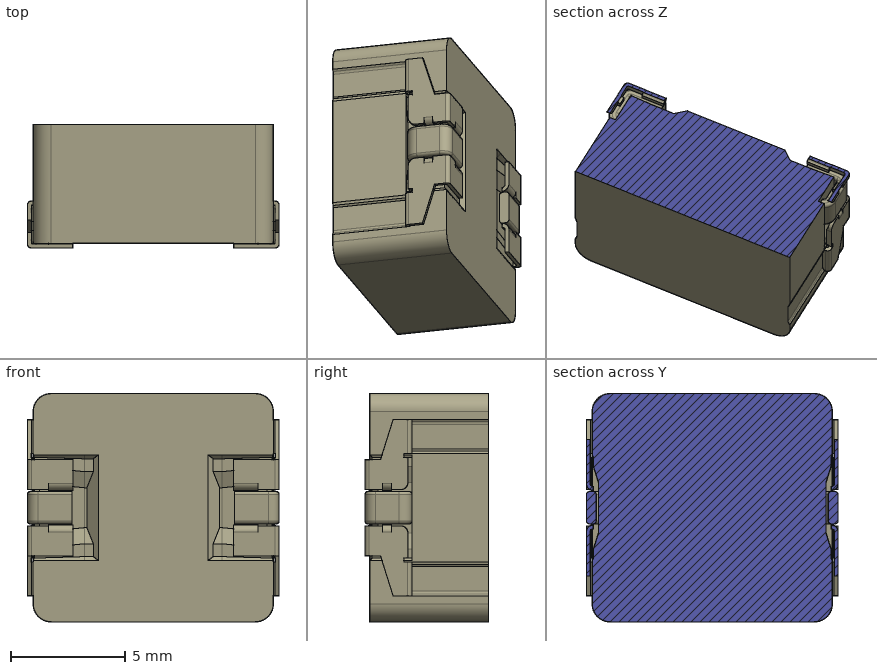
import cadquery as cq
import math

BODY_X = 10.51
BODY_Z = 10.0
BODY_BACK = 5.41
BODY_FRONT = 0.21
BODY_CORNER = 0.79
BODY_SIDE = BODY_X / 2

OUTER_X = 5.51
SHEET = 0.18
SHEET_INSIDE_BEND = 0.07
SHEET_OUTSIDE_BEND = 0.19
TERMINAL_TOP = 2.06
FOOT_LENGTH = 2.0
FOOT_EDGE_Z = 2.1
SLOT_Z = 0.79
SLOT_CORNER = 0.32
TAB_OUTER_Z = 3.86
TAB_INNER_Z = 2.37
TAB_EMBED = 0.26
RELIEF_INNER_Z = 2.19
RELIEF_BOTTOM = 1.71
TAPER_TOP = 1.23
TAPER_BOTTOM = 0.68

EAR_RADIUS = 0.31
EAR_INNER_Z = 0.75
FOOT_EAR_START = 0.94
SIDE_EAR_BOTTOM = 0.77
SIDE_EAR_TOP = 1.16

LEAD_WIDTH = 1.43
LEAD_THICKNESS = 0.44
LEAD_EDGE_RADIUS = 0.14
LEAD_LENGTH = 1.96
LEAD_FOOT_BEND = 0.46
LEAD_TOP_BEND = 0.56
LEAD_EMBED = 0.88

POCKET_LENGTH = 2.87
POCKET_HALF_Z = 2.31
POCKET_WALL_X = 0.23
POCKET_WALL_Z = 0.18
SHALLOW_DEPTH = 0.2
CHANNEL_DEPTH = 0.44
CHANNEL_TOP_Z = 1.58
CHANNEL_FLOOR_Z = 0.87
FLOOR_BREAK = 2.26
FLOOR_RISE = 0.1

SIDE_WALL_Z = 0.11
SIDE_SHALLOW_DEPTH = 0.05
SIDE_CHANNEL_DEPTH = 0.28
SIDE_CHANNEL_TOP_Z = 1.81
SIDE_CHANNEL_FLOOR_Z = 1.1

GROOVE_WALL_WIDTH = 0.09
GROOVE_WALL_ANGLE = math.radians(30)
GROOVE_ROUND = 0.24


def mirrored_z(points):
    """Complete a half outline of points (z first) with its mirror image in z."""
    return points + [(-z, other) for z, other in reversed(points)]


def make_block():
    """Moulded block with rounded long edges."""
    block = cq.Workplane("XY").box(BODY_X, BODY_BACK - BODY_FRONT, BODY_Z)
    block = block.translate((0, (BODY_BACK + BODY_FRONT) / 2, 0))
    return block.edges("|Y").fillet(BODY_CORNER)


def pocket_outline(wall_z, channel_top_z, channel_floor_z, shallow_depth, channel_depth):
    """Cross-section of the pocket as (z, depth) points."""
    return mirrored_z(
        [
            (POCKET_HALF_Z, 0),
            (POCKET_HALF_Z - wall_z, shallow_depth),
            (channel_top_z, shallow_depth),
            (channel_floor_z, channel_depth),
        ]
    )


def make_front_pocket():
    """Pocket in the mounting face: a level stretch and a stretch that rises to the side."""
    end_x = -BODY_SIDE + POCKET_LENGTH
    break_x = -BODY_SIDE + FLOOR_BREAK
    break_outline = pocket_outline(
        POCKET_WALL_Z, CHANNEL_TOP_Z, CHANNEL_FLOOR_Z, SHALLOW_DEPTH, CHANNEL_DEPTH
    )
    side_outline = pocket_outline(
        SIDE_WALL_Z,
        SIDE_CHANNEL_TOP_Z,
        SIDE_CHANNEL_FLOOR_Z,
        SHALLOW_DEPTH - FLOOR_RISE,
        CHANNEL_DEPTH - FLOOR_RISE,
    )
    break_section = [(BODY_FRONT + depth, z) for z, depth in break_outline]
    side_section = [(BODY_FRONT + depth, z) for z, depth in side_outline]

    level = cq.Workplane("YZ", origin=(break_x, 0, 0)).polyline(break_section).close()
    level = level.extrude(end_x - break_x)
    channel_end_x = end_x - CHANNEL_DEPTH * POCKET_WALL_X / SHALLOW_DEPTH
    end_wall = [
        (break_x, BODY_FRONT),
        (end_x, BODY_FRONT),
        (channel_end_x, BODY_FRONT + CHANNEL_DEPTH),
        (break_x, BODY_FRONT + CHANNEL_DEPTH),
    ]
    level_limit = cq.Workplane("XY").polyline(end_wall).close().extrude(POCKET_HALF_Z, both=True)

    rising = cq.Workplane("YZ", origin=(-BODY_SIDE, 0, 0)).polyline(side_section).close()
    rising = rising.workplane(offset=FLOOR_BREAK).polyline(break_section).close().loft(ruled=True)
    return level.intersect(level_limit).union(rising)


def make_side_pocket():
    """Pocket up the side of the body, level with the top of the terminal."""
    outline = pocket_outline(
        SIDE_WALL_Z,
        SIDE_CHANNEL_TOP_Z,
        SIDE_CHANNEL_FLOOR_Z,
        SIDE_SHALLOW_DEPTH,
        SIDE_CHANNEL_DEPTH,
    )
    section = [(z, -BODY_SIDE + depth) for z, depth in outline]
    side = cq.Workplane("ZX", origin=(0, BODY_FRONT, 0)).polyline(section).close()
    return side.extrude(TERMINAL_TOP - BODY_FRONT)


def make_groove():
    """Groove behind one tab: rounded at its outer foot and at its inner rim."""
    round_width = GROOVE_ROUND * math.sin(GROOVE_WALL_ANGLE)
    round_depth = GROOVE_ROUND * (1 - math.cos(GROOVE_WALL_ANGLE))
    wall_depth = GROOVE_WALL_WIDTH * math.tan(GROOVE_WALL_ANGLE)
    floor_x = -BODY_SIDE + wall_depth + round_depth
    inner_rim_z = TAB_INNER_Z + round_width
    outer_foot_z = TAB_OUTER_Z - GROOVE_WALL_WIDTH
    return (
        cq.Workplane("ZX", origin=(0, TERMINAL_TOP - SHEET, 0))
        .moveTo(TAB_INNER_Z, -BODY_SIDE)
        .radiusArc((inner_rim_z, -BODY_SIDE + round_depth), GROOVE_ROUND)
        .lineTo(inner_rim_z + GROOVE_WALL_WIDTH, floor_x)
        .lineTo(outer_foot_z - round_width, floor_x)
        .radiusArc((outer_foot_z, -BODY_SIDE + wall_depth), GROOVE_ROUND)
        .lineTo(TAB_OUTER_Z, -BODY_SIDE)
        .close()
        .extrude(BODY_BACK - TERMINAL_TOP + SHEET)
    )


def make_terminal_half():
    """Sheet that runs from the foot up the side, with a tab at the top entering the body."""
    foot_end = -OUTER_X + FOOT_LENGTH
    tab_end = -OUTER_X + SHEET + TAB_EMBED
    tab_bottom = TERMINAL_TOP - SHEET
    outside = SHEET_OUTSIDE_BEND
    inside_x = -OUTER_X + SHEET
    inside_bend_x = inside_x + SHEET_INSIDE_BEND

    bent_sheet = (
        cq.Workplane("XY")
        .moveTo(foot_end, 0)
        .lineTo(-OUTER_X + outside, 0)
        .radiusArc((-OUTER_X, outside), outside)
        .lineTo(-OUTER_X, TERMINAL_TOP - outside)
        .radiusArc((-OUTER_X + outside, TERMINAL_TOP), outside)
        .lineTo(tab_end, TERMINAL_TOP)
        .lineTo(tab_end, tab_bottom)
        .lineTo(inside_bend_x, tab_bottom)
        .radiusArc((inside_x, tab_bottom - SHEET_INSIDE_BEND), -SHEET_INSIDE_BEND)
        .lineTo(inside_x, SHEET + SHEET_INSIDE_BEND)
        .radiusArc((inside_bend_x, SHEET), -SHEET_INSIDE_BEND)
        .lineTo(foot_end, SHEET)
        .close()
        .extrude(TAB_OUTER_Z)
    )
    corner_mid = SLOT_CORNER * (1 - math.sqrt(0.5))
    outline = (
        cq.Workplane("YZ", origin=(-OUTER_X, 0, 0))
        .moveTo(0, SLOT_Z)
        .lineTo(tab_bottom - SLOT_CORNER, SLOT_Z)
        .threePointArc(
            (tab_bottom - corner_mid, SLOT_Z + corner_mid),
            (tab_bottom, SLOT_Z + SLOT_CORNER),
        )
        .lineTo(tab_bottom, RELIEF_INNER_Z)
        .lineTo(RELIEF_BOTTOM, RELIEF_INNER_Z)
        .lineTo(RELIEF_BOTTOM, TAB_INNER_Z)
        .lineTo(TERMINAL_TOP, TAB_INNER_Z)
        .lineTo(TERMINAL_TOP, TAB_OUTER_Z)
        .lineTo(TAPER_TOP, TAB_OUTER_Z)
        .lineTo(TAPER_BOTTOM, FOOT_EDGE_Z)
        .lineTo(0, FOOT_EDGE_Z)
        .close()
        .extrude(FOOT_LENGTH)
    )
    return bent_sheet.intersect(outline)


def ear_section(plane):
    """Quarter ring that curls the sheet edge inwards, drawn from its centre of curvature."""
    inner_radius = EAR_RADIUS - SHEET
    return (
        plane.moveTo(0, EAR_RADIUS)
        .radiusArc((-EAR_RADIUS, 0), -EAR_RADIUS)
        .lineTo(-inner_radius, 0)
        .radiusArc((0, inner_radius), inner_radius)
        .close()
    )


def curl_ears(half):
    """Replace two stretches of the slot edge with ears curled towards the lead."""
    ear_z = EAR_INNER_Z + EAR_RADIUS
    foot_start = -OUTER_X + FOOT_EAR_START
    foot_length = FOOT_LENGTH - FOOT_EAR_START
    side_height = SIDE_EAR_TOP - SIDE_EAR_BOTTOM

    foot_space = cq.Workplane("XY").box(foot_length, SHEET, EAR_RADIUS, centered=False)
    half = half.cut(foot_space.translate((foot_start, 0, EAR_INNER_Z)))
    side_space = cq.Workplane("XY").box(SHEET, side_height, EAR_RADIUS, centered=False)
    half = half.cut(side_space.translate((-OUTER_X, SIDE_EAR_BOTTOM, EAR_INNER_Z)))

    foot_plane = cq.Plane((foot_start, EAR_RADIUS, ear_z), xDir=(0, 0, 1), normal=(1, 0, 0))
    foot_ear = ear_section(cq.Workplane(foot_plane)).extrude(foot_length)
    side_plane = cq.Plane(
        (-OUTER_X + EAR_RADIUS, SIDE_EAR_TOP, ear_z), xDir=(0, 0, 1), normal=(0, -1, 0)
    )
    side_ear = ear_section(cq.Workplane(side_plane)).extrude(side_height)
    return half.union(foot_ear).union(side_ear)


def make_lead():
    """Rounded flat wire swept from the foot, up the side and into the body."""
    mid = LEAD_THICKNESS / 2
    foot_radius = LEAD_FOOT_BEND - mid
    top_radius = LEAD_TOP_BEND - mid
    side_x = -OUTER_X + mid
    top_y = TERMINAL_TOP - mid
    foot_end = -OUTER_X + LEAD_LENGTH

    path = (
        cq.Workplane("XY")
        .moveTo(foot_end, mid)
        .lineTo(side_x + foot_radius, mid)
        .radiusArc((side_x, mid + foot_radius), foot_radius)
        .lineTo(side_x, top_y - top_radius)
        .radiusArc((side_x + top_radius, top_y), top_radius)
        .lineTo(-OUTER_X + LEAD_EMBED, top_y)
    )
    wire_section = cq.Sketch().rect(LEAD_THICKNESS, LEAD_WIDTH).vertices().fillet(LEAD_EDGE_RADIUS)
    return cq.Workplane("YZ", origin=(foot_end, mid, 0)).placeSketch(wire_section).sweep(path)


def with_mirror(shape, plane):
    """Join a shape with its mirror image in a main plane."""
    return shape.union(shape.mirror(plane))


body = make_block()
pocket = make_front_pocket().union(make_side_pocket())
cutters = pocket.union(with_mirror(make_groove(), "XY"))
body = body.cut(with_mirror(cutters, "YZ"))

terminal = with_mirror(curl_ears(make_terminal_half()), "XY").union(make_lead())
result = body.union(with_mirror(terminal, "YZ"))